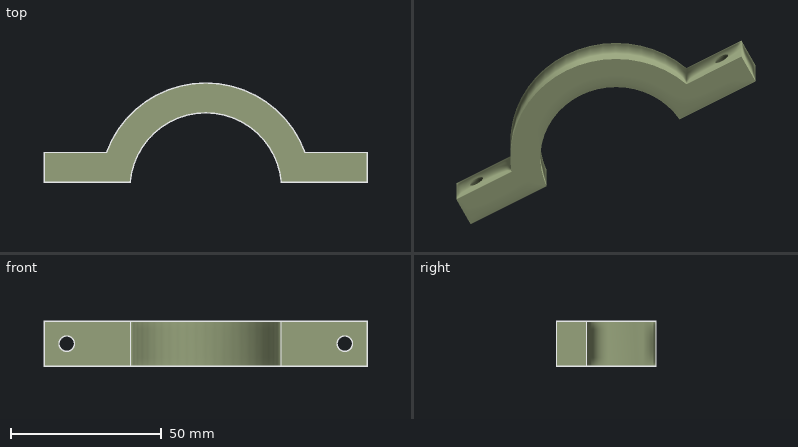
import cadquery as cq

length = 107.1
width = 15.0
wall = 10.0
total_height = 33.0
outer_radius = 35.0
hole_diameter = 5.0
hole_edge_distance = 7.5

inner_radius = outer_radius - wall
center_y = total_height - outer_radius
hole_x = length / 2 - hole_edge_distance


def cylinder(radius):
    """Cylinder along Z about the arch axis, spanning the band width."""
    return cq.Workplane("XY").center(0, center_y).circle(radius).extrude(width)


def box_above_base(height):
    """Full-length block standing on the mounting face."""
    return cq.Workplane("XY").box(length, height, width, centered=(True, False, False))


arch = cylinder(outer_radius).intersect(box_above_base(total_height))

body = arch.union(box_above_base(wall)).cut(cylinder(inner_radius))

bolt_holes = (
    cq.Workplane("XZ")
    .pushPoints([(-hole_x, width / 2), (hole_x, width / 2)])
    .circle(hole_diameter / 2)
    .extrude(-wall)
)

result = body.cut(bolt_holes)